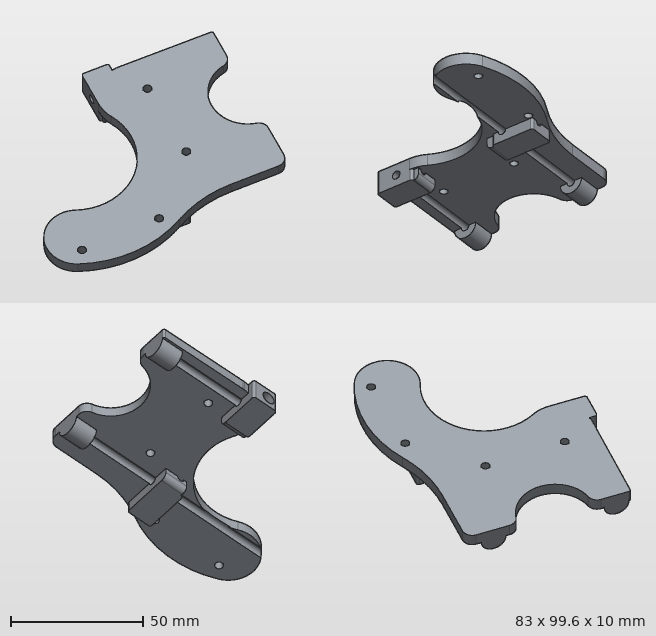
import cadquery as cq
import math


TOTAL_HEIGHT = 10.0
PLATE_THICKNESS = 5.0
PLATE_BOTTOM = TOTAL_HEIGHT - PLATE_THICKNESS

ARM_INNER_RADIUS = 24.0
ARM_OUTER_RADIUS = 49.0
ARM_END_ANGLE = -23.4
ARM_TIP_RADIUS = (ARM_OUTER_RADIUS - ARM_INNER_RADIUS) / 2
ARM_MID_RADIUS = (ARM_OUTER_RADIUS + ARM_INNER_RADIUS) / 2

PLATE_BACK = 72.56
PLATE_LEFT = -30.8
PLATE_RIGHT = 36.2
HIP_LEFT = -31.05
HIP_ABOVE_BLOCK = 2.85
HIP_LENGTH = 0.8
BACK_LEFT_ROUND = 0.8
BACK_RIGHT_ROUND = 4.0
OUTER_BLEND_RADIUS = 50.0
INNER_BLEND_RADIUS = 15.0

NOTCH_RADIUS = 15.0
NOTCH_LIP_RADIUS = 4.0

SCREW_DIAMETER = 3.3
SCREW_CIRCLE_RADIUS = 42.6
SCREW_FIRST_ANGLE = -21.0
SCREW_ANGLE_STEP = 45.0
SCREW_COUNT = 4

BLOCK_LEFT = -34.0
BLOCK_FRONT = 19.2
BLOCK_LENGTH = 11.35
BLOCK_BACK = BLOCK_FRONT + BLOCK_LENGTH
LEFT_BLOCK_END = -17.4
RIGHT_BLOCK_START = 20.3
RIGHT_BLOCK_END = 39.4
BLOCK_ROUND = 1.0

SHOULDER_FRONT = BLOCK_FRONT + BLOCK_ROUND
LEFT_SHOULDER_END = -15.2
RIGHT_SHOULDER_START = 17.1
SHOULDER_ROUND = 2.5
SHOULDER_OVERLAP = 5.0

BORE_HEIGHT = PLATE_BOTTOM
ROD_DIAMETER = 3.5
ROD_OFFSET = 25.0
CROSS_BORE_Y = 23.2
CROSS_BORE_DIAMETER = 3.0
COUNTERBORE_DIAMETER = 5.5
COUNTERBORE_DEPTH = 6.0

BOSS_RADIUS = BORE_HEIGHT
BOSS_LENGTH = 10.0
BOSS_FRONT = PLATE_BACK - BOSS_LENGTH
ROD_END = BOSS_FRONT + BOSS_LENGTH / 2


def polar(radius, angle, centre=(0.0, 0.0)):
    """Point at a radius and an angle in degrees about a centre."""
    turn = math.radians(angle)
    return (centre[0] + radius * math.cos(turn), centre[1] + radius * math.sin(turn))


def direction(start, end):
    """Angle in degrees of the line from start to end."""
    return math.degrees(math.atan2(end[1] - start[1], end[0] - start[0]))


def box(x_range, y_range, z_top):
    """Upright box from Z = 0 to z_top."""
    width = x_range[1] - x_range[0]
    length = y_range[1] - y_range[0]
    corner = (x_range[0], y_range[0], 0)
    return cq.Workplane("XY").box(width, length, z_top, centered=False).translate(corner)


def cylinder(axis, diameter, start, length):
    """Cylinder of the given diameter along an axis vector."""
    return cq.Workplane(cq.Solid.makeCylinder(diameter / 2, length, cq.Vector(*start), cq.Vector(*axis)))


def plate_outline():
    """Closed outline of the plate, counter-clockwise from the front left corner."""
    origin = (0.0, 0.0)

    inner_blend_y = BLOCK_FRONT + INNER_BLEND_RADIUS
    inner_reach = ARM_INNER_RADIUS + INNER_BLEND_RADIUS
    inner_blend = (-math.sqrt(inner_reach**2 - inner_blend_y**2), inner_blend_y)
    outer_blend_x = PLATE_RIGHT + OUTER_BLEND_RADIUS
    outer_reach = ARM_OUTER_RADIUS + OUTER_BLEND_RADIUS
    outer_blend = (outer_blend_x, math.sqrt(outer_reach**2 - outer_blend_x**2))
    inner_angle = direction(origin, inner_blend)
    outer_angle = direction(origin, outer_blend)

    tip = polar(ARM_MID_RADIUS, ARM_END_ANGLE)

    lip_x = math.sqrt((NOTCH_RADIUS + NOTCH_LIP_RADIUS) ** 2 - NOTCH_LIP_RADIUS**2)
    lip_y = PLATE_BACK - NOTCH_LIP_RADIUS
    notch = (0.0, PLATE_BACK)
    right_lip = (lip_x, lip_y)
    left_lip = (-lip_x, lip_y)
    right_lip_angle = direction(right_lip, notch)
    left_lip_angle = direction(left_lip, notch)

    corner_r = (PLATE_RIGHT - BACK_RIGHT_ROUND, PLATE_BACK - BACK_RIGHT_ROUND)
    corner_l = (PLATE_LEFT + BACK_LEFT_ROUND, PLATE_BACK - BACK_LEFT_ROUND)

    return (
        cq.Workplane("XY")
        .moveTo(PLATE_LEFT, BLOCK_FRONT)
        .lineTo(inner_blend[0], BLOCK_FRONT)
        .threePointArc(
            polar(INNER_BLEND_RADIUS, (270 + 180 + inner_angle) / 2, inner_blend),
            polar(ARM_INNER_RADIUS, inner_angle),
        )
        .threePointArc(
            polar(ARM_INNER_RADIUS, (inner_angle + ARM_END_ANGLE) / 2),
            polar(ARM_INNER_RADIUS, ARM_END_ANGLE),
        )
        .threePointArc(
            polar(ARM_TIP_RADIUS, ARM_END_ANGLE - 90, tip),
            polar(ARM_OUTER_RADIUS, ARM_END_ANGLE),
        )
        .threePointArc(
            polar(ARM_OUTER_RADIUS, (outer_angle + ARM_END_ANGLE) / 2),
            polar(ARM_OUTER_RADIUS, outer_angle),
        )
        .threePointArc(
            polar(OUTER_BLEND_RADIUS, (180 + 180 + outer_angle) / 2, outer_blend),
            (PLATE_RIGHT, outer_blend[1]),
        )
        .lineTo(PLATE_RIGHT, corner_r[1])
        .threePointArc(polar(BACK_RIGHT_ROUND, 45, corner_r), (corner_r[0], PLATE_BACK))
        .lineTo(lip_x, PLATE_BACK)
        .threePointArc(
            polar(NOTCH_LIP_RADIUS, (90 + right_lip_angle) / 2, right_lip),
            polar(NOTCH_LIP_RADIUS, right_lip_angle, right_lip),
        )
        .threePointArc(
            (0, PLATE_BACK - NOTCH_RADIUS),
            polar(NOTCH_LIP_RADIUS, left_lip_angle, left_lip),
        )
        .threePointArc(
            polar(NOTCH_LIP_RADIUS, (90 + left_lip_angle) / 2, left_lip),
            (-lip_x, PLATE_BACK),
        )
        .lineTo(corner_l[0], PLATE_BACK)
        .threePointArc(polar(BACK_LEFT_ROUND, 135, corner_l), (PLATE_LEFT, corner_l[1]))
        .lineTo(HIP_LEFT, BLOCK_BACK + HIP_ABOVE_BLOCK)
        .lineTo(HIP_LEFT, BLOCK_BACK + HIP_ABOVE_BLOCK - HIP_LENGTH)
        .lineTo(PLATE_LEFT, BLOCK_BACK)
        .close()
    )


def front_blocks():
    y_range = (BLOCK_FRONT, BLOCK_BACK)
    shoulder_y = (SHOULDER_FRONT, BLOCK_BACK)

    left = box((BLOCK_LEFT, LEFT_BLOCK_END), y_range, PLATE_BOTTOM)
    left = left.edges("|Z").fillet(BLOCK_ROUND)
    tab = box((BLOCK_LEFT, PLATE_LEFT + BLOCK_ROUND), y_range, TOTAL_HEIGHT)
    tab = tab.edges("|Z and <X").fillet(BLOCK_ROUND)

    right = box((RIGHT_BLOCK_START, RIGHT_BLOCK_END), y_range, PLATE_BOTTOM)
    right = right.edges("|Z").fillet(BLOCK_ROUND)

    left_shoulder_x = (LEFT_BLOCK_END - SHOULDER_OVERLAP, LEFT_SHOULDER_END)
    left_shoulder = box(left_shoulder_x, shoulder_y, PLATE_BOTTOM)
    left_shoulder = left_shoulder.edges("|Y and >X and <Z").fillet(SHOULDER_ROUND)
    right_shoulder_x = (RIGHT_SHOULDER_START, RIGHT_BLOCK_START + SHOULDER_OVERLAP)
    right_shoulder = box(right_shoulder_x, shoulder_y, PLATE_BOTTOM)
    right_shoulder = right_shoulder.edges("|Y and <X and <Z").fillet(SHOULDER_ROUND)

    return left.union(tab).union(right).union(left_shoulder).union(right_shoulder)


def rod_bosses():
    bosses = cq.Workplane("XY")
    for x in (-ROD_OFFSET, ROD_OFFSET):
        boss = cylinder((0, 1, 0), 2 * BOSS_RADIUS, (x, BOSS_FRONT, BORE_HEIGHT), BOSS_LENGTH)
        below = box((x - BOSS_RADIUS, x + BOSS_RADIUS), (BOSS_FRONT, PLATE_BACK), PLATE_BOTTOM)
        bosses = bosses.add(boss.intersect(below))
    return bosses.combine()


def screw_holes():
    holes = cq.Workplane("XY")
    for index in range(SCREW_COUNT):
        x, y = polar(SCREW_CIRCLE_RADIUS, SCREW_FIRST_ANGLE + index * SCREW_ANGLE_STEP)
        holes = holes.add(cylinder((0, 0, 1), SCREW_DIAMETER, (x, y, 0), TOTAL_HEIGHT))
    return holes.combine()


def rod_bores():
    """Left bore starts in its block; the right one starts beyond the arm tip and grooves the arm."""
    bores = cq.Workplane("XY")
    for x, start in ((-ROD_OFFSET, BLOCK_FRONT), (ROD_OFFSET, -ARM_OUTER_RADIUS)):
        bores = bores.add(cylinder((0, 1, 0), ROD_DIAMETER, (x, start, BORE_HEIGHT), ROD_END - start))
    return bores.combine()


def cross_bore():
    """Counterbored hole through the left block; past it only the right block is drilled, not the plate."""
    start = (BLOCK_LEFT, CROSS_BORE_Y, BORE_HEIGHT)
    through_left = LEFT_BLOCK_END - BLOCK_LEFT
    through_both = RIGHT_BLOCK_END - BLOCK_LEFT
    bore = cylinder((1, 0, 0), COUNTERBORE_DIAMETER, start, COUNTERBORE_DEPTH)
    bore = bore.union(cylinder((1, 0, 0), CROSS_BORE_DIAMETER, start, through_left))
    long_bore = cylinder((1, 0, 0), CROSS_BORE_DIAMETER, start, through_both)
    below_plate = box((BLOCK_LEFT, RIGHT_BLOCK_END), (BLOCK_FRONT, BLOCK_BACK), PLATE_BOTTOM)
    return bore.union(long_bore.intersect(below_plate))


plate = plate_outline().extrude(PLATE_THICKNESS).translate((0, 0, PLATE_BOTTOM))
body = plate.union(front_blocks()).union(rod_bosses())
result = body.cut(screw_holes()).cut(rod_bores()).cut(cross_bore())